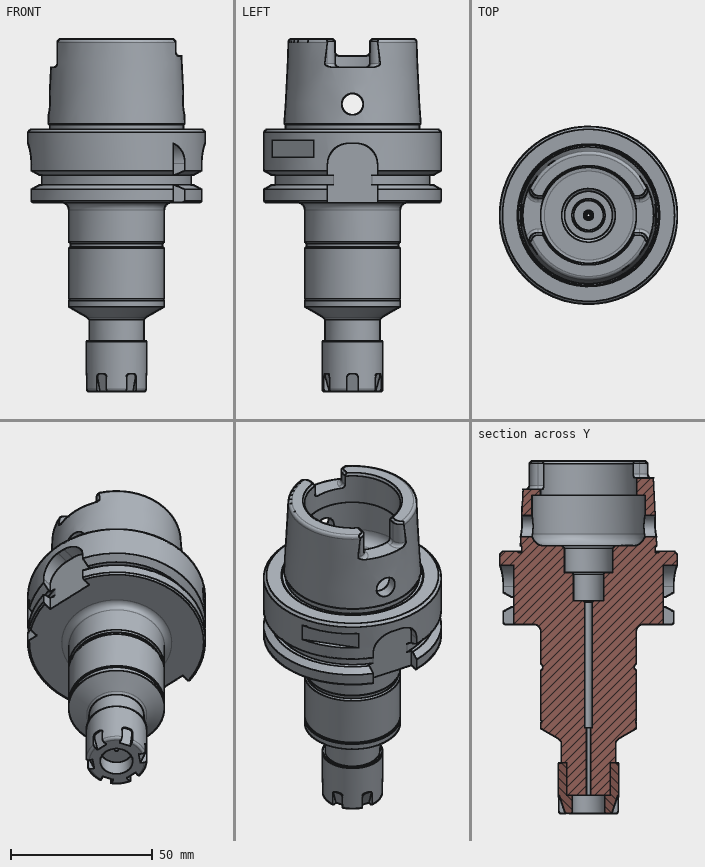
import cadquery as cq
import math


taper_top = 32.0
taper_top_radius = 22.8
taper_base = 2.0
taper_base_radius = 24.3
shank_bore_radius = 17.0
bore_chamfer_width = 0.6
bore_chamfer_height = 1.0
rim_round = 1.3
finger_chamfer = 0.9
finger_chamfer_angle = 45

relief_radius = 23.8
relief_rim_radius = 25.3
relief_depth = 0.4

cavity_top = 19.8
cavity_radius = 20.0
cavity_floor = 2.0
cavity_fillet = 4.3
tube_seat_radius = 9.5
tube_seat_bottom = -7.5
tube_seat_chamfer = 1.0
thread_radius = 5.3
thread_chamfer = 0.6
thread_bottom = -17.5
coolant_well_radius = 1.3
coolant_well_chamfer = 0.5
coolant_well_bottom = -62.5
coolant_hole_radius = 0.6

drive_slot_half_width = 6.1
drive_slot_corner = 3.0
drive_slot_land = 21.0
drive_slot_floor_round = 1.4
drive_slot_depth_left = 10.0
drive_slot_depth_right = 6.0
access_hole_radius = 3.8
access_hole_start = 18.8
access_hole_height = 8.9

flange_radius = 31.5
flange_bottom = -26.0
flange_top_chamfer = 1.0
flange_bottom_chamfer = 0.6
groove_height = -18.0
groove_floor_radius = 27.4
groove_half_width = 1.8
groove_lip_radius = 28.8
groove_slope = math.radians(30)

keyway_floor = 26.5
keyway_half_width = 8.9
keyway_top = -5.0
keyway_corner = 7.5
notch_floor = 20.1
notch_wall = -20.1
notch_radius = 8.0
notch_arc_height = -12.0
label_distance = 29.8
label_height = 6.0
label_center = -6.9
label_angle = 135

barrel_radius = 17.0
barrel_fillet = 2.5
ring_groove_top = -39.9
ring_groove_width = 2.4
ring_groove_depth = 0.6
thin_groove_top = -60.2
thin_groove_width = 0.6
thin_groove_depth = 0.3
barrel_bottom = -62.9
neck_radius = 9.8
neck_fillet = 0.9
barrel_slope = math.radians(30)
nose_radius = 7.8
nose_bottom = -86.6

nut_radius = 10.8
nut_top = -75.0
nut_bottom = -93.1
nut_top_chamfer = 0.3
nut_bottom_round = 1.0
nut_mouth_radius = 5.8
nut_slot_count = 6
nut_slot_width = 4.0
nut_slot_height = 6.4
nut_slot_floor_bottom = 8.3
nut_slot_floor_top = 10.4
nut_slot_corner = 1.4

outside = 2 * flange_radius


def revolve_profile(profile):
    return profile.close().revolve(360, (0, 0, 0), (0, 1, 0))


def cylinder(radius, bottom, top):
    return cq.Workplane("XY").workplane(offset=bottom).circle(radius).extrude(top - bottom)


def body_blank():
    groove_top = groove_height + groove_half_width
    groove_bottom = groove_height - groove_half_width
    lip_rise = (flange_radius - groove_lip_radius) * math.tan(groove_slope)
    ring_floor = barrel_radius - ring_groove_depth
    ring_bottom = ring_groove_top - ring_groove_width
    thin_floor = barrel_radius - thin_groove_depth
    thin_bottom = thin_groove_top - thin_groove_width
    cone_end = barrel_bottom - (barrel_radius - neck_radius - neck_fillet) * math.tan(barrel_slope)
    profile = (
        cq.Workplane("XZ")
        .moveTo(0, taper_top)
        .lineTo(taper_top_radius, taper_top)
        .lineTo(taper_base_radius, taper_base)
        .lineTo(relief_radius, taper_base - (taper_base_radius - relief_radius))
        .lineTo(relief_radius, -relief_depth)
        .lineTo(relief_rim_radius - relief_depth, -relief_depth)
        .lineTo(relief_rim_radius, 0)
        .lineTo(flange_radius - flange_top_chamfer, 0)
        .lineTo(flange_radius, -flange_top_chamfer)
        .lineTo(flange_radius, groove_top + lip_rise)
        .lineTo(groove_lip_radius, groove_top)
        .lineTo(groove_floor_radius, groove_top)
        .lineTo(groove_floor_radius, groove_bottom)
        .lineTo(groove_lip_radius, groove_bottom)
        .lineTo(flange_radius, groove_bottom - lip_rise)
        .lineTo(flange_radius, flange_bottom + flange_bottom_chamfer)
        .lineTo(flange_radius - flange_bottom_chamfer, flange_bottom)
        .lineTo(barrel_radius + barrel_fillet, flange_bottom)
        .radiusArc((barrel_radius, flange_bottom - barrel_fillet), -barrel_fillet)
        .lineTo(barrel_radius, ring_groove_top)
        .lineTo(ring_floor, ring_groove_top - ring_groove_depth)
        .lineTo(ring_floor, ring_bottom + ring_groove_depth)
        .lineTo(barrel_radius, ring_bottom)
        .lineTo(barrel_radius, thin_groove_top)
        .lineTo(thin_floor, thin_groove_top)
        .lineTo(thin_floor, thin_bottom)
        .lineTo(barrel_radius, thin_bottom)
        .lineTo(barrel_radius, barrel_bottom)
        .lineTo(neck_radius + neck_fillet, cone_end)
        .lineTo(neck_radius, cone_end - neck_fillet)
        .lineTo(neck_radius, nut_top)
        .lineTo(nose_radius, nut_top)
        .lineTo(nose_radius, nose_bottom)
        .lineTo(0, nose_bottom)
    )
    return revolve_profile(profile)


def drive_slot_outline(side, height):
    """Slot open on one X side, flaring outward round the ends of the fingers."""
    inner = side * shank_bore_radius / 2
    land = side * drive_slot_land
    arc_start = land - side * drive_slot_corner
    flare = drive_slot_half_width + drive_slot_corner
    return (
        cq.Workplane("XY")
        .workplane(offset=height)
        .moveTo(inner, -drive_slot_half_width)
        .lineTo(arc_start, -drive_slot_half_width)
        .radiusArc((land, -flare), side * drive_slot_corner)
        .lineTo(land, -flange_radius)
        .lineTo(side * outside, -flange_radius)
        .lineTo(side * outside, flange_radius)
        .lineTo(land, flange_radius)
        .lineTo(land, flare)
        .radiusArc((arc_start, drive_slot_half_width), side * drive_slot_corner)
        .lineTo(inner, drive_slot_half_width)
        .close()
    )


def drive_slot(side, depth):
    slot = drive_slot_outline(side, taper_top - depth).extrude(2 * depth)
    slot = slot.faces("<Z").edges().fillet(drive_slot_floor_round)
    widening = drive_slot_outline(side, taper_top - finger_chamfer)
    return slot.union(widening.extrude(finger_chamfer, taper=-finger_chamfer_angle))


def shank_bore():
    profile = (
        cq.Workplane("XZ")
        .moveTo(0, taper_top)
        .lineTo(shank_bore_radius + bore_chamfer_width, taper_top)
        .lineTo(shank_bore_radius, taper_top - bore_chamfer_height)
        .lineTo(shank_bore_radius, cavity_top)
        .lineTo(cavity_radius, cavity_top)
        .lineTo(cavity_radius, cavity_floor + cavity_fillet)
        .radiusArc((cavity_radius - cavity_fillet, cavity_floor), cavity_fillet)
        .lineTo(tube_seat_radius, cavity_floor)
        .lineTo(tube_seat_radius - tube_seat_chamfer, cavity_floor - tube_seat_chamfer)
        .lineTo(tube_seat_radius - tube_seat_chamfer, tube_seat_bottom)
        .lineTo(thread_radius + thread_chamfer, tube_seat_bottom)
        .lineTo(thread_radius, tube_seat_bottom - thread_chamfer)
        .lineTo(thread_radius, thread_bottom)
        .lineTo(coolant_well_radius + coolant_well_chamfer, thread_bottom)
        .lineTo(coolant_well_radius, thread_bottom - coolant_well_chamfer)
        .lineTo(coolant_well_radius, coolant_well_bottom)
        .lineTo(coolant_hole_radius, coolant_well_bottom)
        .lineTo(coolant_hole_radius, nose_bottom)
        .lineTo(0, nose_bottom)
    )
    return revolve_profile(profile)


def access_hole(side):
    """Hole through the shank wall, opening into the cavity."""
    return (
        cq.Workplane("YZ")
        .workplane(offset=side * access_hole_start)
        .center(0, access_hole_height)
        .circle(access_hole_radius)
        .extrude(side * outside)
    )


def keyway(side):
    height = keyway_top - flange_bottom
    return (
        cq.Workplane("YZ")
        .workplane(offset=side * keyway_floor)
        .center(0, keyway_top - height)
        .rect(2 * keyway_half_width, 2 * height)
        .extrude(side * outside)
        .edges("|X and >Z")
        .fillet(keyway_corner)
    )


def index_notch():
    """Round-topped slot milled along X into the flange edge."""
    slot_center = notch_wall - notch_radius
    rounded_end = (
        cq.Workplane("YZ")
        .workplane(offset=notch_floor)
        .center(slot_center, notch_arc_height)
        .circle(notch_radius)
        .extrude(outside)
    )
    straight = (
        cq.Workplane("YZ")
        .workplane(offset=notch_floor)
        .center(slot_center, (notch_arc_height + flange_bottom) / 2)
        .rect(2 * notch_radius, notch_arc_height - flange_bottom)
        .extrude(outside)
    )
    return rounded_end.union(straight)


def label_flat():
    return (
        cq.Workplane("YZ")
        .workplane(offset=label_distance)
        .center(0, label_center)
        .rect(outside, label_height)
        .extrude(outside)
        .rotate((0, 0, 0), (0, 0, 1), label_angle)
    )


def make_holder():
    holder = body_blank().faces(">Z").edges().fillet(rim_round)
    holder = holder.cut(drive_slot(-1, drive_slot_depth_left))
    holder = holder.cut(drive_slot(1, drive_slot_depth_right))
    holder = holder.cut(shank_bore())
    for side in (-1, 1):
        holder = holder.cut(access_hole(side))
        holder = holder.cut(keyway(side))
    holder = holder.cut(index_notch())
    return holder.cut(label_flat())


def nut_slot(angle):
    """Wrench slot whose floor slopes out towards the nut surface at its upper end."""
    slot_top = nut_bottom + nut_slot_height
    floor_wedge = (
        cq.Workplane("XZ")
        .moveTo(nut_slot_floor_bottom, nut_bottom)
        .lineTo(nut_slot_floor_top, slot_top)
        .lineTo(outside, slot_top)
        .lineTo(outside, nut_bottom)
        .close()
        .extrude(nut_slot_width, both=True)
    )
    return (
        cq.Workplane("YZ")
        .center(0, nut_bottom)
        .rect(nut_slot_width, 2 * nut_slot_height)
        .extrude(outside)
        .edges("|X and >Z")
        .fillet(nut_slot_corner)
        .intersect(floor_wedge)
        .rotate((0, 0, 0), (0, 0, 1), angle)
    )


def make_nut():
    nut = cylinder(nut_radius, nut_bottom, nut_top)
    nut = nut.faces(">Z").chamfer(nut_top_chamfer)
    nut = nut.faces("<Z").edges().fillet(nut_bottom_round)
    nut = nut.cut(cylinder(nose_radius, nose_bottom, nut_top))
    nut = nut.cut(cylinder(nut_mouth_radius, nut_bottom, nose_bottom))
    for index in range(nut_slot_count):
        nut = nut.cut(nut_slot(index * 360 / nut_slot_count))
    return nut


holder = make_holder()
nut = make_nut()
result = cq.Compound.makeCompound([holder.val(), nut.val()])